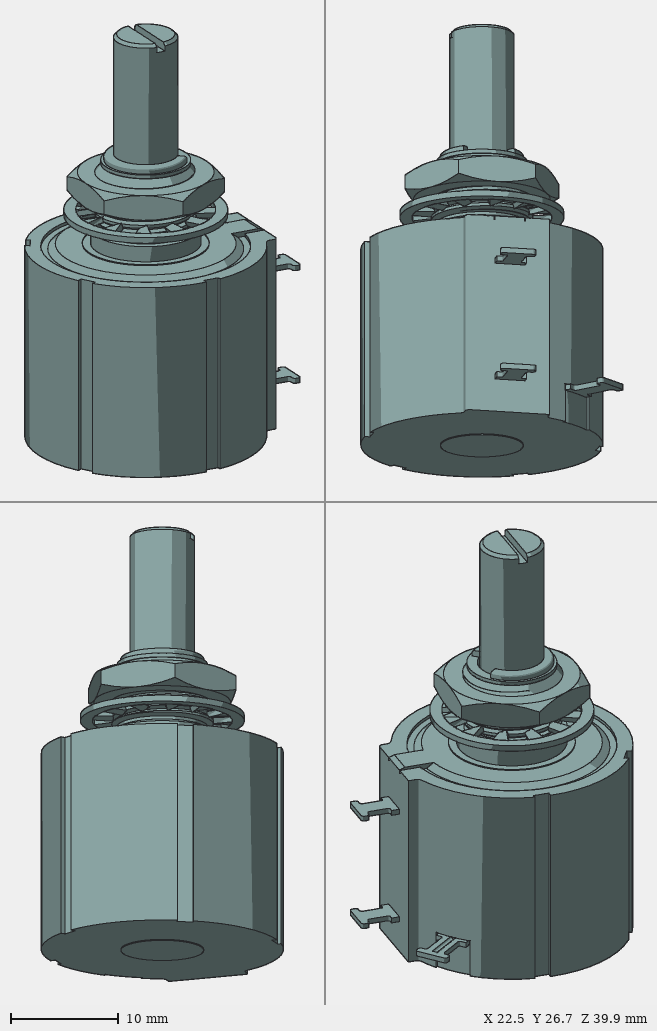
import cadquery as cq
import math


overlap = 0.1

body_radius = 11.25
body_height = 18.8
bottom_boss_radius = 3.85
bottom_boss_height = 0.1

lug_left = -3.78
lug_right = 4.15
lug_face_y = 11.68
lug_foot_fillet = 0.6
lug_corner_fillet = 0.4

notch_width = 1.5
notch_floor = 10.75
notch_offset = 1.125
lower_notch_offset = -0.375

groove_outer_radius = 9.75
groove_inner_radius = 9.1
groove_depth = 0.3
plateau_radius = 8.4
plateau_height = 0.2
collar_radius = 5.9
collar_height = 0.1
tongue_half_width = 1.4
tongue_gap = 0.1
tongue_slope_length = 0.55

bushing_base_radius = 5.15
bushing_base_top = 20.6
thread_radius = 4.74
thread_pitch = 0.79
thread_depth = 0.3
thread_flank_half_width = 0.33
thread_turns = 6.5
undercut_radius = 4.2
undercut_foot_radius = 4.45
undercut_foot_height = 0.4
undercut_length = 0.3
undercut_runout = 0.25
cone_bottom = 26.1
cone_top = 26.95
cone_top_radius = 4.05
cap_radius = 4.18
cap_top = 27.32
bore_radius = 3.2
bore_depth = 1.0

clip_radius = 3.9
clip_height = 0.6
clip_fillet = 0.28
clip_half_opening = 39.0

shaft_radius = 3.0
shaft_top = 39.75
shaft_chamfer = 0.3
slot_width = 0.85
slot_depth = 0.8

nut_across_flats = 12.7
nut_bottom = 23.65
nut_thickness = 2.45
nut_chamfer_angle = 30.0

washer_radius = 7.62
washer_window_radius = 6.5
washer_bottom = 21.85
washer_thickness = 0.57
tooth_count = 12
tooth_root_width = 1.52
tooth_root_overlap = 0.15
tooth_root_thickness = 0.5
tooth_tip_width = 0.8
tooth_tip_radius = 4.6
tooth_twist = 25.0

terminal_thickness = 0.5
upper_terminal_z = 14.25
lower_terminal_z = 3.1
terminal_tip = 15.47
terminal_root = 8.5
head_half_width = 1.65
head_length = 0.77
head_fillet = 0.28
stem_half_width = 0.88
stem_length = 2.25
stem_fillet = 0.2
shoulder_half_width = 1.42
side_terminal_angle = 130.0
side_terminal_tip = 15.3
side_stem_length = 3.0
side_shoulder_half_width = 1.6
rib_groove_radius = 0.25
rib_groove_start = 10.9
rib_groove_end = 14.58
recess_width = 3.65
recess_height = 3.65
recess_floor = 11.0


def cylinder(radius, bottom, top):
    return cq.Workplane("XY").workplane(offset=bottom).circle(radius).extrude(top - bottom)


def revolved(points):
    """Turn a closed outline of (radius, z) points about the Z axis."""
    return cq.Workplane("XZ").polyline(points).close().revolve(360, (0, 0, 0), (0, 1, 0))


def block(x_min, x_max, y_min, y_max, z_min, z_max):
    size = (x_max - x_min, y_max - y_min, z_max - z_min)
    return cq.Workplane("XY").box(*size, centered=False).translate((x_min, y_min, z_min))


def vertical_edges_within(shape, x_range, y_range):
    """Edges along Z whose middles lie within the given X and Y ranges."""
    bounds = shape.val().BoundingBox()
    box = cq.selectors.BoxSelector(
        (x_range[0] - overlap, y_range[0] - overlap, bounds.zmin),
        (x_range[1] + overlap, y_range[1] + overlap, bounds.zmax),
    )
    return shape.edges("|Z").edges(box)


def about_z(shape, angle):
    return shape.rotate((0, 0, 0), (0, 0, 1), angle)


def make_housing():
    """Round housing with the lug, the wall notches and the terminal recess."""
    lug = block(lug_left, lug_right, 0, lug_face_y, 0, body_height)
    housing = cylinder(body_radius, 0, body_height).union(lug)
    feet = vertical_edges_within(housing, (lug_left, lug_right), (body_radius / 2, body_radius))
    housing = feet.fillet(lug_foot_fillet)
    right_corner = vertical_edges_within(housing, (lug_right, lug_right), (lug_face_y, lug_face_y))
    housing = right_corner.fillet(lug_corner_fillet)
    outside = 2 * body_radius
    for direction, offset in (
        (0, notch_offset),
        (180, -notch_offset),
        (-120, lower_notch_offset),
        (-60, -lower_notch_offset),
    ):
        low = offset - notch_width / 2
        notch = block(notch_floor, outside, low, low + notch_width, 0, body_height)
        housing = housing.cut(about_z(notch, direction))
    ring = cylinder(outside, 0, recess_height).cut(cylinder(recess_floor, 0, recess_height))
    window = block(0, outside, -recess_width / 2, recess_width / 2, 0, recess_height)
    housing = housing.cut(ring.intersect(about_z(window, side_terminal_angle)))
    return housing.union(cylinder(bottom_boss_radius, -bottom_boss_height, overlap))


def add_cover(housing):
    """Ring groove, raised plateau with its collar, and the tongue reaching out to the lug."""
    floor = body_height - groove_depth
    plateau_top = body_height + plateau_height
    above = body_height + overlap
    slot_half_width = tongue_half_width + tongue_gap
    housing = housing.cut(cylinder(groove_outer_radius, floor, above))
    housing = housing.cut(block(-slot_half_width, slot_half_width, 0, lug_face_y, floor, above))
    plateau = revolved([
        (0, floor - overlap),
        (groove_inner_radius, floor - overlap),
        (groove_inner_radius, floor),
        (plateau_radius, plateau_top),
        (0, plateau_top),
    ])
    tongue = (
        cq.Workplane("YZ")
        .polyline([
            (0, floor),
            (lug_face_y, floor),
            (lug_face_y, body_height),
            (lug_face_y - tongue_slope_length, plateau_top),
            (0, plateau_top),
        ])
        .close()
        .extrude(tongue_half_width, both=True)
    )
    collar = cylinder(collar_radius, body_height, plateau_top + collar_height)
    return housing.union(plateau).union(tongue).union(collar)


def make_thread_groove():
    """V-shaped helical groove that runs from the undercut out through the cone."""
    start = bushing_base_top + undercut_foot_height + undercut_length
    path = cq.Workplane("XY").add(
        cq.Wire.makeHelix(thread_pitch, thread_turns * thread_pitch, thread_radius))
    profile = (
        cq.Workplane("XZ")
        .polyline([
            (thread_radius + overlap, -thread_flank_half_width),
            (thread_radius + overlap, thread_flank_half_width),
            (thread_radius - thread_depth, 0),
        ])
        .close()
    )
    return profile.sweep(path, isFrenet=True).translate((0, 0, start))


def make_bushing():
    foot_top = bushing_base_top + undercut_foot_height
    undercut_top = foot_top + undercut_length
    bushing = revolved([
        (0, body_height),
        (bushing_base_radius, body_height),
        (bushing_base_radius, bushing_base_top),
        (undercut_foot_radius, bushing_base_top),
        (undercut_radius, foot_top),
        (undercut_radius, undercut_top),
        (thread_radius, undercut_top + undercut_runout),
        (thread_radius, cone_bottom),
        (cone_top_radius, cone_top),
        (cap_radius, cone_top),
        (cap_radius, cap_top),
        (0, cap_top),
    ])
    bushing = bushing.cut(make_thread_groove())
    return bushing.cut(cylinder(bore_radius, cap_top - bore_depth, cap_top))


def make_clip():
    """Open ring around the shaft, with its gap toward +Y."""
    top = cap_top + clip_height
    ring = cylinder(clip_radius, cap_top, top)
    ring = ring.faces(">Z").edges().fillet(clip_fillet)
    reach = 2 * clip_radius
    half_gap = reach * math.tan(math.radians(clip_half_opening))
    gap = (
        cq.Workplane("XY").workplane(offset=cap_top)
        .polyline([(0, 0), (half_gap, reach), (-half_gap, reach)]).close()
        .extrude(clip_height)
    )
    return ring.cut(gap)


def make_shaft():
    shaft = cylinder(shaft_radius, body_height, shaft_top).faces(">Z").chamfer(shaft_chamfer)
    slot = block(-shaft_radius, shaft_radius, -slot_width / 2, slot_width / 2,
                 shaft_top - slot_depth, shaft_top)
    return shaft.cut(slot)


def make_nut():
    """Hexagon nut whose corners are turned off by a cone at both ends."""
    flat_radius = nut_across_flats / 2
    corner_radius = flat_radius / math.cos(math.pi / 6)
    drop = (corner_radius - flat_radius) * math.tan(math.radians(nut_chamfer_angle))
    top = nut_bottom + nut_thickness
    hexagon = (
        cq.Workplane("XY").workplane(offset=nut_bottom)
        .polygon(6, 2 * corner_radius).extrude(nut_thickness)
    )
    envelope = revolved([
        (0, nut_bottom),
        (flat_radius, nut_bottom),
        (corner_radius, nut_bottom + drop),
        (corner_radius, top - drop),
        (flat_radius, top),
        (0, top),
    ])
    return hexagon.intersect(envelope)


def make_lock_washer():
    """Flat ring with inward teeth that are flat at the root and twist toward the tip."""
    washer_top = washer_bottom + washer_thickness
    washer = cylinder(washer_radius, washer_bottom, washer_top)
    washer = washer.cut(cylinder(washer_window_radius, washer_bottom, washer_top))
    root_radius = washer_window_radius + tooth_root_overlap
    length = root_radius - tooth_tip_radius
    tooth = (
        cq.Workplane("YZ").workplane(offset=tooth_tip_radius)
        .transformed(rotate=(0, 0, tooth_twist)).rect(tooth_tip_width, washer_thickness)
        .transformed(rotate=(0, 0, -tooth_twist), offset=(0, 0, length))
        .rect(tooth_root_width, tooth_root_thickness)
        .loft()
        .translate((0, 0, washer_bottom + washer_thickness / 2))
    )
    for index in range(tooth_count):
        washer = washer.union(about_z(tooth, index * 360 / tooth_count))
    return washer


def make_terminal(tip, stem, shoulder, bottom):
    """Flat solder terminal lying along +X, with a T-shaped head."""
    head_bottom = tip - head_length
    stem_bottom = head_bottom - stem
    half = [
        (terminal_root, shoulder),
        (stem_bottom, shoulder),
        (stem_bottom, stem_half_width),
        (head_bottom, stem_half_width),
        (head_bottom, head_half_width),
        (tip, head_half_width),
    ]
    mirrored = [(x, -y) for x, y in reversed(half)]
    terminal = (
        cq.Workplane("XY").workplane(offset=bottom)
        .polyline(half + mirrored).close().extrude(terminal_thickness)
    )
    head_edges = vertical_edges_within(
        terminal, (head_bottom, tip), (-head_half_width, head_half_width))
    terminal = head_edges.fillet(head_fillet)
    stem_corners = vertical_edges_within(
        terminal, (stem_bottom, stem_bottom), (-stem_half_width, stem_half_width))
    return stem_corners.fillet(stem_fillet)


def make_side_terminal():
    """Third terminal, with a half-round groove along its stem."""
    terminal = make_terminal(
        side_terminal_tip, side_stem_length, side_shoulder_half_width, lower_terminal_z)
    groove = (
        cq.Workplane("YZ").workplane(offset=rib_groove_start)
        .center(0, lower_terminal_z + terminal_thickness)
        .circle(rib_groove_radius).extrude(rib_groove_end - rib_groove_start)
    )
    return about_z(terminal.cut(groove), side_terminal_angle)


result = add_cover(make_housing())
result = result.union(make_bushing()).union(make_shaft()).union(make_clip())
result = result.union(make_nut()).union(make_lock_washer())
for height in (lower_terminal_z, upper_terminal_z):
    lug_terminal = make_terminal(terminal_tip, stem_length, shoulder_half_width, height)
    result = result.union(about_z(lug_terminal, 90))
result = result.union(make_side_terminal())